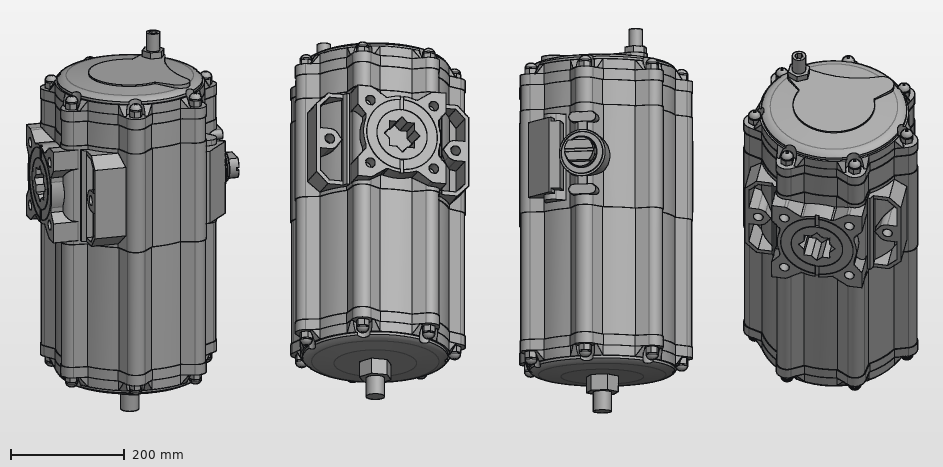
import cadquery as cq
import math

EAR_COUNT = 7
BOLT_CIRCLE_R = 139.5
BARREL_R = 132.0
EAR_R = 19.5
TUBE_INSET = 1.5
EAR_ROOT_ANGLE = 13.2

BOTTOM_FLANGE_Z = 95.0
TOP_FLANGE_Z = 588.0
FLANGE_T = 19.5
MID_BOTTOM_Z = 341.5
MID_TOP_Z = 524.0

CAP_INSET = 1.0
PANEL_H = 18.0
PANEL_CHAMFER_R = 142.0
DOME_FOOT_R = 128.0
DOME_RIM_R = 112.0
DOME_RIM_H = 29.5
DOME_FLAT_R = 73.0
DOME_H = 33.0
DOME_EDGE_H = 23.0
DOME_SHOULDER = (121.0, 27.5)
BOLT_POCKET_D = 33.0

HEX_TURN = 30
BOLT_HEX_AF = 20.0
BOLT_HEX_H = 11.5
BOLT_ROOT = 3.5
BOLT_CAP_D = 22.0
BOLT_CAP_RIM_H = 3.0
BOLT_CAP_H = 11.5
BOLT_DIMPLE_D = 4.15
BOLT_DIMPLE_DEPTH = 4.0

PLATE_TOP_Z = 623.5
PLATE_T = 20.0
PLATE_R = 73.0
PLATE_NECK = (67.0, 25.5)
PLATE_WING_SIDE = (91.5, 53.5)
PLATE_WING_OUTER = (90.0, 79.0)
PLATE_WING_TIP = (69.5, 87.0)
PLATE_HOLLOW_Y = 72.0
SCREW_X = -75.0
SCREW_Y = 66.0
SCREW_NUT_AF = 35.0
SCREW_NUT_TOP_Z = 635.0
SCREW_D = 24.0
SCREW_TOP_Z = 667.0
SCREW_SOCKET_AF = 13.0
SCREW_SOCKET_DEPTH = 13.5

BOTTOM_NUT_AF = 50.0
BOTTOM_NUT_Z = 34.0
BOTTOM_SCREW_D = 33.0

SHAFT_Z = 433.0
FRONT_Y = -165.5
SHAFT_D = 92.0
SHAFT_STEP_Y = 100.0
SHAFT_REAR_D = 75.0
SHAFT_REAR_Y = 167.5
NECK_D = 55.0
NECK_Y = 171.5
COLLAR_D = 56.0
COLLAR_Y = 176.0
COLLAR_CHAMFER = 2.0
KNOB_D = 51.5
KNOB_AF = 36.0
KNOB_Y = 193.5
KNOB_SLOT_W = 5.5
KNOB_SLOT_DEPTH = 5.0
STAR_AF = 46.0
STAR_DEPTH = 47.0

PAD_HALF_X = 81.0
PAD_HALF_Z = 84.0
PAD_ROUND_R = 71.0
PAD_TOP_NOTCH_X = 55.5
PAD_TOP_NOTCH_FOOT = (29.0, 66.0)
PAD_SHOULDER_R = 9.0
PAD_SIDE_NOTCH_Z = 49.0
PAD_SIDE_NOTCH_FOOT = (67.0, 32.0)
PAD_HOLE_XZ = 58.0
PAD_HOLE_D = 17.5
PAD_HOLE_DEPTH = 27.0
RECESS_D = 129.5
RECESS_DEPTH = 1.5
PAD_SLOT_W = 7.0
PAD_SLOT_DEPTH = 4.0

BRACKET_Y = -107.5
BRACKET_DEPTH = 70.0
BRACKET_HALF_X = 139.5
BRACKET_CHAMFER = 21.0
BRACKET_WALL = 7.5
POCKET_INNER_X = 91.0
BASE_Y = -115.5
BASE_EDGE_X = 86.0
BRACKET_HOLE_X = 115.5
BRACKET_HOLE_D = 17.5
LUG_R = 19.0
LUG_TIP_X = 93.0
LUG_ARC_MID = 112.5

REAR_Y = 164.0
REAR_BOSS_D = 83.0
REAR_PAD_DZ = 65.0
REAR_PAD_LENGTH = 49.0
REAR_PAD_W = 17.5
REAR_RIB_W = 16.0
REAR_RIB_Y = 163.5
PORT_HALF_H = 67.0
PORT_OUTLINE = [(55.5, 103.0), (55.5, 140.0), (57.5, 157.0), (61.5, 157.0), (107.5, 114.0), (107.5, 103.0)]
PORT_WEB_OUTLINE = [(41.5, 103.0), (41.5, 157.0), (57.5, 157.0), (55.5, 140.0), (55.5, 103.0)]
PORT_WEB_HALF_H = 60.0
PORT_BOSS_FOOT = (37.0, 126.0)
PORT_BOSS_SHOULDER = (53.0, 138.0)
PORT_BOSS_CROWN = (63.5, 140.0)
PORT_BOSS_SIDE = (77.5, 126.0)
PORT_BOSS_BASE_Y = 103.0
PORT_BOSS_HALF_H = 77.0


def polar(radius, degrees):
    angle = math.radians(degrees)
    return (radius * math.cos(angle), radius * math.sin(angle))


def polar_from(center, radius, degrees):
    dx, dy = polar(radius, degrees)
    return (center[0] + dx, center[1] + dy)


EAR_ANGLES = [90 + 360 / EAR_COUNT * i for i in range(EAR_COUNT)]
EAR_CENTERS = [polar(BOLT_CIRCLE_R, angle) for angle in EAR_ANGLES]


def box(x0, x1, y0, y1, z0, z1):
    size = (x1 - x0, y1 - y0, z1 - z0)
    return cq.Workplane("XY").box(*size, centered=False).translate((x0, y0, z0))


def prism(sketch_points, z0, z1):
    return cq.Workplane("XY").workplane(offset=z0).polyline(sketch_points).close().extrude(z1 - z0)


def across_y(y):
    """Sketch plane at depth y, centred on the shaft axis; extrudes toward +Y, sketch x is -X."""
    return cq.Workplane("XZ", origin=(0, y, SHAFT_Z)).transformed(rotate=(0, 180, 0))


def cylinder_y(diameter, y0, y1, x=0, dz=0):
    return across_y(y0).center(-x, dz).circle(diameter / 2).extrude(y1 - y0)


def eared_section(z0, z1, inset=0.0):
    """Barrel with seven rounded ears whose straight flanks run tangent to the ear."""
    barrel_r = BARREL_R - inset
    ear_r = EAR_R - inset
    root_angle = EAR_ROOT_ANGLE - math.degrees(inset / barrel_r)
    root_x, root_y = polar(barrel_r, root_angle)
    reach = math.hypot(BOLT_CIRCLE_R - root_x, root_y)
    tangent_angle = math.degrees(math.atan2(root_y, root_x - BOLT_CIRCLE_R) - math.acos(ear_r / reach))
    tangent_x, tangent_y = polar_from((BOLT_CIRCLE_R, 0), ear_r, tangent_angle)
    tangent_r = math.hypot(tangent_x, tangent_y)
    tangent_turn = math.degrees(math.atan2(tangent_y, tangent_x))
    half_pitch = 180 / EAR_COUNT

    first_root = polar(barrel_r, EAR_ANGLES[0] - root_angle)
    outline = cq.Workplane("XY").workplane(offset=z0).moveTo(*first_root)
    for angle in EAR_ANGLES:
        outline = (
            outline.lineTo(*polar(tangent_r, angle - tangent_turn))
            .threePointArc(polar(BOLT_CIRCLE_R + ear_r, angle), polar(tangent_r, angle + tangent_turn))
            .lineTo(*polar(barrel_r, angle + root_angle))
            .threePointArc(
                polar(barrel_r, angle + half_pitch),
                polar(barrel_r, angle + 2 * half_pitch - root_angle),
            )
        )
    return outline.close().extrude(z1 - z0)


def end_cap():
    """Domed cap standing on z = 0, with its wall sloped down over the ears."""
    dome = (
        cq.Workplane("XZ")
        .moveTo(0, 0)
        .lineTo(PANEL_CHAMFER_R, 0)
        .lineTo(BARREL_R - CAP_INSET, PANEL_H)
        .lineTo(DOME_FOOT_R, PANEL_H)
        .lineTo(DOME_FOOT_R, DOME_EDGE_H)
        .threePointArc(DOME_SHOULDER, (DOME_RIM_R, DOME_RIM_H))
        .lineTo(DOME_FLAT_R, DOME_H)
        .lineTo(0, DOME_H)
        .close()
        .revolve(360, (0, 0, 0), (0, 1, 0))
    )
    pockets = cq.Workplane("XY").pushPoints(EAR_CENTERS).circle(BOLT_POCKET_D / 2).extrude(DOME_H)
    head = bolt_head().val()
    heads = cq.Workplane("XY").pushPoints(EAR_CENTERS).eachpoint(lambda place: head.moved(place))
    return dome.intersect(eared_section(0, DOME_H, CAP_INSET)).cut(pockets).union(heads)


def bolt_head():
    """Hexagon under a spherical cap with a small dimple at its crown."""
    cap_r = BOLT_CAP_D / 2
    dimple_r = BOLT_DIMPLE_D / 2
    rim_top = BOLT_HEX_H + BOLT_CAP_RIM_H
    rise = BOLT_CAP_H - BOLT_CAP_RIM_H
    sphere_r = (cap_r**2 + rise**2) / (2 * rise)
    sphere_z = rim_top + rise - sphere_r
    crown_z = sphere_z + math.sqrt(sphere_r**2 - dimple_r**2)
    shoulder_r = (cap_r + dimple_r) / 2
    shoulder_z = sphere_z + math.sqrt(sphere_r**2 - shoulder_r**2)
    cap = (
        cq.Workplane("XZ")
        .moveTo(0, BOLT_HEX_H)
        .lineTo(cap_r, BOLT_HEX_H)
        .lineTo(cap_r, rim_top)
        .threePointArc((shoulder_r, shoulder_z), (dimple_r, crown_z))
        .lineTo(dimple_r, crown_z - BOLT_DIMPLE_DEPTH)
        .lineTo(0, crown_z - BOLT_DIMPLE_DEPTH)
        .close()
        .revolve(360, (0, 0, 0), (0, 1, 0))
    )
    base = hexagon(BOLT_HEX_AF, -BOLT_ROOT, BOLT_HEX_H).rotate((0, 0, 0), (0, 0, 1), HEX_TURN)
    return base.union(cap)


def hexagon(across_flats, z0, z1):
    """Hexagonal prism on the Z axis with two corners on the X axis."""
    corner_d = across_flats / math.cos(math.pi / 6)
    return cq.Workplane("XY").workplane(offset=z0).polygon(6, corner_d).extrude(z1 - z0)


def top_plate():
    def left(point):
        return (-point[0], point[1])

    return (
        cq.Workplane("XY").workplane(offset=PLATE_TOP_Z - PLATE_T)
        .moveTo(*left(PLATE_NECK))
        .lineTo(*left(PLATE_WING_SIDE))
        .threePointArc(left(PLATE_WING_OUTER), left(PLATE_WING_TIP))
        .threePointArc((0, PLATE_HOLLOW_Y), PLATE_WING_TIP)
        .threePointArc(PLATE_WING_OUTER, PLATE_WING_SIDE)
        .lineTo(*PLATE_NECK)
        .threePointArc((0, -PLATE_R), left(PLATE_NECK))
        .close()
        .extrude(PLATE_T)
    )


def top_screw():
    nut = hexagon(SCREW_NUT_AF, PLATE_TOP_Z - PLATE_T, SCREW_NUT_TOP_Z)
    nut = nut.rotate((0, 0, 0), (0, 0, 1), HEX_TURN)
    stud = cq.Workplane("XY").workplane(offset=SCREW_NUT_TOP_Z).circle(SCREW_D / 2)
    stud = stud.extrude(SCREW_TOP_Z - SCREW_NUT_TOP_Z)
    socket = hexagon(SCREW_SOCKET_AF, SCREW_TOP_Z - SCREW_SOCKET_DEPTH, SCREW_TOP_Z)
    return nut.union(stud).cut(socket).translate((SCREW_X, SCREW_Y, 0))


def bottom_screw():
    nut = hexagon(BOTTOM_NUT_AF, BOTTOM_NUT_Z, BOTTOM_FLANGE_Z)
    return nut.union(cq.Workplane("XY").circle(BOTTOM_SCREW_D / 2).extrude(BOTTOM_NUT_Z))


def mounting_pad():
    """Round centre with four corner lugs, reaching back into the barrel."""
    depth = -FRONT_Y - BARREL_R / 2
    pad = cylinder_y(2 * PAD_ROUND_R, FRONT_Y, FRONT_Y + depth)
    corner = [
        (0, 0),
        (0, PAD_TOP_NOTCH_FOOT[1]),
        PAD_TOP_NOTCH_FOOT,
        (PAD_TOP_NOTCH_X, PAD_HALF_Z),
        (PAD_HALF_X, PAD_HALF_Z),
        (PAD_HALF_X, PAD_SIDE_NOTCH_Z),
        PAD_SIDE_NOTCH_FOOT,
        (PAD_SIDE_NOTCH_FOOT[0], 0),
    ]
    lug = across_y(FRONT_Y).polyline(corner).close().extrude(depth)
    shoulder_at = (-PAD_TOP_NOTCH_X, FRONT_Y, SHAFT_Z + PAD_HALF_Z)
    lug = lug.edges("|Y").edges(cq.NearestToPointSelector(shoulder_at)).fillet(PAD_SHOULDER_R)
    pair = lug.union(lug.mirror("YZ"))
    return pad.union(pair).union(pair.mirror("XY", (0, 0, SHAFT_Z)))


def pad_cuts():
    cuts = cylinder_y(RECESS_D, FRONT_Y, FRONT_Y + RECESS_DEPTH)
    cuts = cuts.union(
        box(
            -PAD_SLOT_W / 2, PAD_SLOT_W / 2, FRONT_Y, FRONT_Y + PAD_SLOT_DEPTH,
            SHAFT_Z - PAD_HALF_Z, SHAFT_Z + PAD_HALF_Z,
        )
    )
    for x in (-PAD_HOLE_XZ, PAD_HOLE_XZ):
        for dz in (-PAD_HOLE_XZ, PAD_HOLE_XZ):
            cuts = cuts.union(cylinder_y(PAD_HOLE_D, FRONT_Y, FRONT_Y + PAD_HOLE_DEPTH, x, dz))
    return cuts


def bracket_frame_points(wall, inner_x):
    """Three-sided frame outline on the -X side, inset by the wall thickness."""
    outer_x = BRACKET_HALF_X - wall
    top = PAD_HALF_Z - wall
    chamfer = BRACKET_CHAMFER - wall * (2 - math.sqrt(2))
    return [
        (inner_x, top),
        (outer_x - chamfer, top),
        (outer_x, top - chamfer),
        (outer_x, chamfer - top),
        (outer_x - chamfer, -top),
        (inner_x, -top),
    ]


def left_bracket():
    """Open frame with a drilled lug and the base wall that ties it to the pad."""
    frame = across_y(BRACKET_Y).polyline(bracket_frame_points(0, POCKET_INNER_X)).close()
    frame = frame.extrude(BRACKET_DEPTH)
    pocket = across_y(BRACKET_Y).polyline(bracket_frame_points(BRACKET_WALL, POCKET_INNER_X)).close()
    frame = frame.cut(pocket.extrude(BRACKET_DEPTH))

    slant = LUG_R / math.sqrt(2)
    lug = (
        across_y(BRACKET_Y)
        .moveTo(BRACKET_HALF_X - BRACKET_WALL, -LUG_R)
        .lineTo(BRACKET_HOLE_X, -LUG_R)
        .threePointArc(
            polar_from((BRACKET_HOLE_X, 0), LUG_R, -LUG_ARC_MID),
            (BRACKET_HOLE_X - slant, -slant),
        )
        .lineTo(LUG_TIP_X, 0)
        .lineTo(BRACKET_HOLE_X - slant, slant)
        .threePointArc(
            polar_from((BRACKET_HOLE_X, 0), LUG_R, LUG_ARC_MID),
            (BRACKET_HOLE_X, LUG_R),
        )
        .lineTo(BRACKET_HALF_X - BRACKET_WALL, LUG_R)
        .close()
        .extrude(BRACKET_DEPTH)
    )
    lug = lug.cut(cylinder_y(BRACKET_HOLE_D, BRACKET_Y, BRACKET_Y + BRACKET_DEPTH, -BRACKET_HOLE_X))
    base = prism(
        [(0, 0), (-POCKET_INNER_X, 0), (-POCKET_INNER_X, BRACKET_Y), (-BASE_EDGE_X, BASE_Y), (0, BASE_Y)],
        SHAFT_Z - PAD_HALF_Z,
        SHAFT_Z + PAD_HALF_Z,
    )
    return frame.union(lug).union(base)


def rear_pads():
    """Two stadium pads above and below the boss, each tied to it by a rib."""
    pads = box(
        -REAR_RIB_W / 2, REAR_RIB_W / 2, 0, REAR_RIB_Y, SHAFT_Z - REAR_PAD_DZ, SHAFT_Z + REAR_PAD_DZ
    )
    for dz in (-REAR_PAD_DZ, REAR_PAD_DZ):
        pads = pads.union(across_y(0).center(0, dz).slot2D(REAR_PAD_LENGTH, REAR_PAD_W).extrude(REAR_Y))
    return pads


def port_block():
    """Slanted block with a lower web beside it and a taller round-topped boss on the barrel."""
    block = prism(PORT_OUTLINE, SHAFT_Z - PORT_HALF_H, SHAFT_Z + PORT_HALF_H)
    web = prism(PORT_WEB_OUTLINE, SHAFT_Z - PORT_WEB_HALF_H, SHAFT_Z + PORT_WEB_HALF_H)
    boss = (
        cq.Workplane("XY").workplane(offset=SHAFT_Z - PORT_BOSS_HALF_H)
        .moveTo(PORT_BOSS_FOOT[0], PORT_BOSS_BASE_Y)
        .lineTo(*PORT_BOSS_FOOT)
        .lineTo(*PORT_BOSS_SHOULDER)
        .threePointArc(PORT_BOSS_CROWN, PORT_BOSS_SIDE)
        .lineTo(PORT_BOSS_SIDE[0], PORT_BOSS_BASE_Y)
        .close()
        .extrude(2 * PORT_BOSS_HALF_H)
    )
    return block.union(web).union(boss)


def make_shaft():
    shaft = cylinder_y(SHAFT_D, FRONT_Y, SHAFT_STEP_Y)
    shaft = shaft.union(cylinder_y(SHAFT_REAR_D, SHAFT_STEP_Y, SHAFT_REAR_Y))
    shaft = shaft.union(cylinder_y(NECK_D, SHAFT_REAR_Y, NECK_Y))
    collar = cylinder_y(COLLAR_D, NECK_Y, COLLAR_Y).faces(">Y").chamfer(COLLAR_CHAMFER)
    flats = box(-KNOB_D, KNOB_D, COLLAR_Y, KNOB_Y, SHAFT_Z - KNOB_AF / 2, SHAFT_Z + KNOB_AF / 2)
    knob = cylinder_y(KNOB_D, COLLAR_Y, KNOB_Y).intersect(flats)
    slot = box(
        -KNOB_D, KNOB_D, KNOB_Y - KNOB_SLOT_DEPTH, KNOB_Y,
        SHAFT_Z - KNOB_SLOT_W / 2, SHAFT_Z + KNOB_SLOT_W / 2,
    )
    shaft = shaft.union(collar).union(knob.cut(slot))
    for turn in (0, 45):
        square = across_y(FRONT_Y).transformed(rotate=(0, 0, turn)).rect(STAR_AF, STAR_AF)
        shaft = shaft.cut(square.extrude(STAR_DEPTH))
    return shaft


def make_housing():
    tube = eared_section(BOTTOM_FLANGE_Z, TOP_FLANGE_Z, TUBE_INSET)
    cap = end_cap()
    bracket = left_bracket()
    features = [
        eared_section(BOTTOM_FLANGE_Z, BOTTOM_FLANGE_Z + FLANGE_T),
        eared_section(MID_BOTTOM_Z, MID_TOP_Z),
        eared_section(TOP_FLANGE_Z - FLANGE_T, TOP_FLANGE_Z),
        cap.translate((0, 0, TOP_FLANGE_Z)),
        cap.mirror("XY").translate((0, 0, BOTTOM_FLANGE_Z)),
        top_plate(),
        top_screw(),
        bottom_screw(),
        bracket,
        bracket.mirror("YZ"),
        mounting_pad(),
        cylinder_y(REAR_BOSS_D, 0, REAR_Y),
        rear_pads(),
        port_block(),
    ]
    cuts = [
        pad_cuts(),
        cylinder_y(SHAFT_D, FRONT_Y, SHAFT_STEP_Y),
        cylinder_y(SHAFT_REAR_D, SHAFT_STEP_Y, REAR_Y),
    ]
    joined = tube.val().fuse(*[feature.val() for feature in features])
    housing_shape = joined.cut(*[cut.val() for cut in cuts]).clean()
    return cq.Workplane(housing_shape.Solids()[0])


housing = make_housing()
shaft = make_shaft()
result = cq.Compound.makeCompound([housing.val(), shaft.val()])